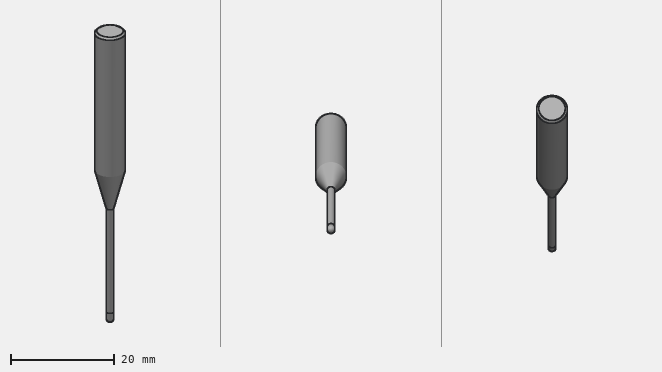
import cadquery as cq

total_length = 64.0
shank_radius = 3.0
shank_chamfer = 0.45
cutter_radius = 0.8
neck_radius = cutter_radius

cutter_top = 2.25
taper_bottom = 25.0
taper_top = 33.5


def make_cutter():
    """Short cylindrical cutting head with a hemispherical lower end."""
    arc_offset = cutter_radius * 0.5 ** 0.5
    profile = (
        cq.Workplane("XZ")
        .moveTo(0, 0)
        .threePointArc((arc_offset, cutter_radius - arc_offset), (cutter_radius, cutter_radius))
        .lineTo(cutter_radius, cutter_top)
        .lineTo(0, cutter_top)
        .close()
    )
    return profile.revolve(360, (0, 0, 0), (0, 1, 0))


def make_neck():
    """Slender cylinder between the cutting head and the tapered shank."""
    return (
        cq.Workplane("XY")
        .workplane(offset=cutter_top)
        .circle(neck_radius)
        .extrude(taper_bottom - cutter_top)
    )


def make_shank():
    """Cylindrical shank with a chamfered top and a conical lower end."""
    profile = (
        cq.Workplane("XZ")
        .moveTo(0, taper_bottom)
        .lineTo(neck_radius, taper_bottom)
        .lineTo(shank_radius, taper_top)
        .lineTo(shank_radius, total_length - shank_chamfer)
        .lineTo(shank_radius - shank_chamfer, total_length)
        .lineTo(0, total_length)
        .close()
    )
    return profile.revolve(360, (0, 0, 0), (0, 1, 0))


cutter = make_cutter()
neck = make_neck()
shank = make_shank()

result = cq.Compound.makeCompound([cutter.val(), neck.val(), shank.val()])